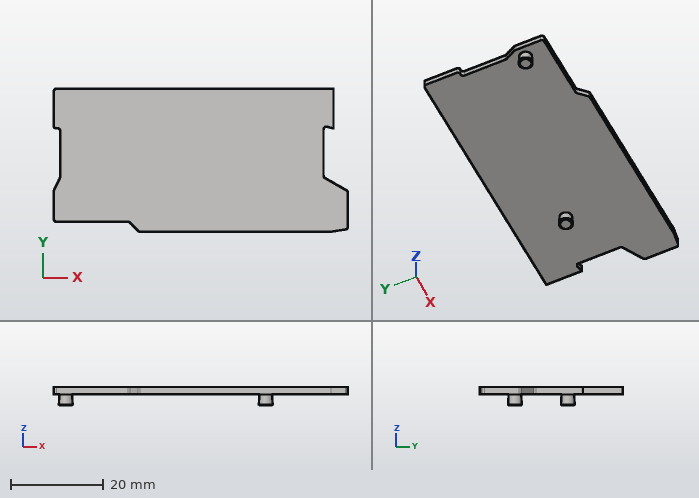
import cadquery as cq

length = 63.7
width = 31.0
height = 4.0
plate_thickness = 1.6
pin_length = height - plate_thickness

left_neck_x = 1.4
left_tab_y = 22.4
left_taper_top_y = 11.85
left_taper_bottom_y = 9.0

upper_right_x = 60.65
right_neck_x = 58.5
right_lip_y = 22.35
right_notch_y = 22.95
right_taper_top_y = 11.85
right_taper_bottom_y = 8.85
right_chamfer_x = 60.1
right_chamfer_y = 0.6

step_y = 2.15
step_start_x = 16.3
step_end_x = 18.5

corner_radius = 0.6
tab_radius = 0.5
left_taper_radius = 1.15

pin_centers = [(2.6, 7.65), (45.9, 19.1)]
root_radius = 1.4
tip_radius = 1.5
tip_chamfer = 0.25

outline = [
    (0, step_y),
    (step_start_x, step_y),
    (step_end_x, 0),
    (right_chamfer_x, 0),
    (length, right_chamfer_y),
    (length, right_taper_bottom_y),
    (right_neck_x, right_taper_top_y),
    (right_neck_x, right_notch_y),
    (upper_right_x, right_lip_y),
    (upper_right_x, width),
    (0, width),
    (0, left_tab_y),
    (left_neck_x, left_tab_y),
    (left_neck_x, left_taper_top_y),
    (0, left_taper_bottom_y),
]
rounded_corners = [
    ((0, step_y), corner_radius),
    ((step_start_x, step_y), corner_radius),
    ((step_end_x, 0), corner_radius),
    ((length, right_chamfer_y), corner_radius),
    ((length, right_taper_bottom_y), corner_radius),
    ((right_neck_x, right_taper_top_y), corner_radius),
    ((right_neck_x, right_notch_y), corner_radius),
    ((0, width), corner_radius),
    ((0, left_tab_y), tab_radius),
    ((left_neck_x, left_tab_y), corner_radius),
    ((left_neck_x, left_taper_top_y), corner_radius),
    ((0, left_taper_bottom_y), left_taper_radius),
]


def make_plate():
    """Flat plate with its top at the full height and its corners rounded."""
    plate = cq.Workplane("XY").workplane(offset=pin_length)
    plate = plate.polyline(outline).close().extrude(plate_thickness)
    mid_z = pin_length + plate_thickness / 2
    for (x, y), radius in rounded_corners:
        edge = plate.edges("|Z").edges(cq.NearestToPointSelector((x, y, mid_z)))
        plate = edge.fillet(radius)
    return plate


def make_pin(center):
    """Revolved pin, run into the plate so that the two bodies join."""
    embedded_top = pin_length + plate_thickness / 2
    profile = [
        (0, 0),
        (tip_radius - tip_chamfer, 0),
        (tip_radius, tip_chamfer),
        (root_radius, pin_length),
        (root_radius, embedded_top),
        (0, embedded_top),
    ]
    pin = cq.Workplane("XZ").polyline(profile).close().revolve(360, (0, 0, 0), (0, 1, 0))
    return pin.translate((center[0], center[1], 0))


result = make_plate()
for pin_center in pin_centers:
    result = result.union(make_pin(pin_center))